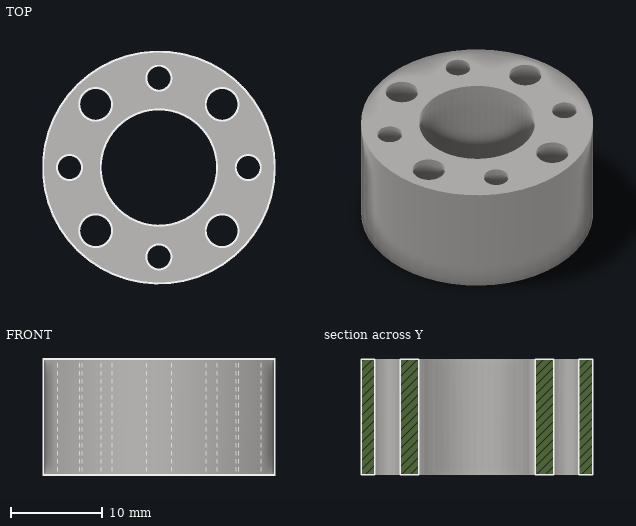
import cadquery as cq

outer_diameter = 25.4
bore_diameter = outer_diameter / 2
height = outer_diameter / 2

pitch_diameter = 19.55
small_hole_diameter = 2.72
large_hole_diameter = 3.55
holes_per_set = 4
large_hole_offset_angle = 360 / holes_per_set / 2


def drill_hole_circle(body, diameter, start_angle):
    """Drill one set of evenly spaced through holes on the pitch circle."""
    return (
        body.faces(">Z")
        .workplane(origin=(0, 0, height))
        .polarArray(pitch_diameter / 2, start_angle, 360, holes_per_set)
        .hole(diameter)
    )


ring = (
    cq.Workplane("XY")
    .circle(outer_diameter / 2)
    .circle(bore_diameter / 2)
    .extrude(height)
)

ring = drill_hole_circle(ring, small_hole_diameter, 0)
result = drill_hole_circle(ring, large_hole_diameter, large_hole_offset_angle)